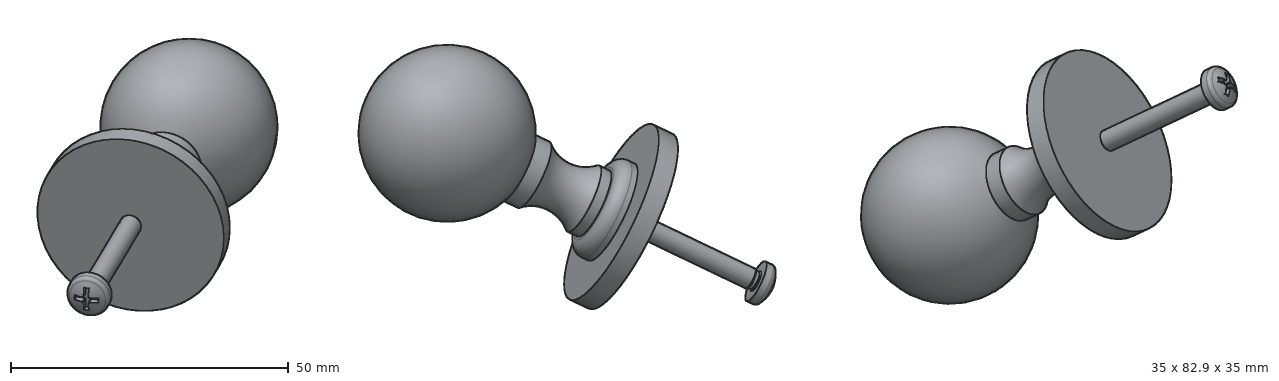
import cadquery as cq
import math


overall_length = 82.9
screw_length = 29.0
knob_length = overall_length - screw_length

plate_radius = 35.0 / 2
plate_thickness = 4.0
bead_radius = 9.7
bead_height = 3.7
bead_rounding = 2.5
collar_radius = 6.6
lower_collar_height = 2.1
waist_radius = 4.6
waist_height = 10.3
ball_radius = 16.0

shank_radius = 2.0
shank_length = 24.7
neck_radius = 1.7
neck_length = 1.2
neck_flare = 0.25
shank_chamfer = shank_radius - neck_radius
head_radius = 4.0
head_rim_height = 1.3
head_shoulder_height = 0.8
dome_radius = 3.4
dome_apex_rise = 0.04

recess_span = 4.5
recess_width = 0.9
recess_depth = 1.5
recess_center_radius = 0.75


def revolve_about_y(profile):
    """Close a half profile drawn in XY and turn it fully about the Y axis."""
    return profile.close().revolve(360, (0, 0, 0), (0, 1, 0))


def make_knob():
    """Plate, rounded bead, waisted stem and ball as one turned body."""
    bead_top = plate_thickness + bead_height
    waist_bottom = bead_top + lower_collar_height
    waist_middle = waist_bottom + waist_height / 2
    waist_top = waist_bottom + waist_height
    ball_center = knob_length - ball_radius
    ball_bottom = ball_center - math.sqrt(ball_radius**2 - collar_radius**2)

    rounding_middle_x = bead_radius - bead_rounding * (1 - math.cos(math.pi / 4))
    rounding_middle_y = bead_top - bead_rounding * (1 - math.sin(math.pi / 4))

    profile = (
        cq.Workplane("XY")
        .lineTo(plate_radius, 0)
        .lineTo(plate_radius, plate_thickness)
        .lineTo(bead_radius, plate_thickness)
        .lineTo(bead_radius, bead_top - bead_rounding)
        .threePointArc((rounding_middle_x, rounding_middle_y), (bead_radius - bead_rounding, bead_top))
        .lineTo(collar_radius, bead_top)
        .lineTo(collar_radius, waist_bottom)
        .threePointArc((waist_radius, waist_middle), (collar_radius, waist_top))
        .lineTo(collar_radius, ball_bottom)
        .threePointArc((ball_radius, ball_center), (0, knob_length))
    )
    return revolve_about_y(profile)


def make_cross_recess():
    """Four-armed driver recess with a round center, cut in from the head's end."""
    recess_cut = recess_depth + dome_apex_rise
    cutter_plane = cq.Workplane("XZ", origin=(0, recess_depth - screw_length, 0))
    horizontal_arm = cutter_plane.rect(recess_span, recess_width).extrude(recess_cut)
    vertical_arm = cutter_plane.rect(recess_width, recess_span).extrude(recess_cut)
    center = cutter_plane.circle(recess_center_radius).extrude(recess_cut)
    return horizontal_arm.union(vertical_arm).union(center)


def make_screw():
    """Shank butting against the plate, relieved neck and domed, cross-recessed head."""
    neck_end = shank_length + neck_length
    rim_end = neck_end + head_rim_height
    shoulder_end = rim_end + head_shoulder_height
    dome_apex = screw_length + dome_apex_rise
    dome_height = dome_apex - shoulder_end
    dome_sphere_radius = (dome_radius**2 + dome_height**2) / (2 * dome_height)
    dome_middle_x = dome_radius / 2
    dome_middle_y = dome_apex - dome_sphere_radius + math.sqrt(dome_sphere_radius**2 - dome_middle_x**2)

    profile = (
        cq.Workplane("XY")
        .lineTo(shank_radius, 0)
        .lineTo(shank_radius, -shank_length)
        .lineTo(neck_radius, -shank_length - shank_chamfer)
        .lineTo(neck_radius, neck_flare - neck_end)
        .lineTo(neck_radius + neck_flare, -neck_end)
        .lineTo(head_radius, -neck_end)
        .lineTo(head_radius, -rim_end)
        .tangentArcPoint((dome_radius, -shoulder_end), relative=False)
        .threePointArc((dome_middle_x, -dome_middle_y), (0, -dome_apex))
    )
    return revolve_about_y(profile).cut(make_cross_recess())


knob = make_knob()
screw = make_screw()

result = cq.Compound.makeCompound([knob.val(), screw.val()])